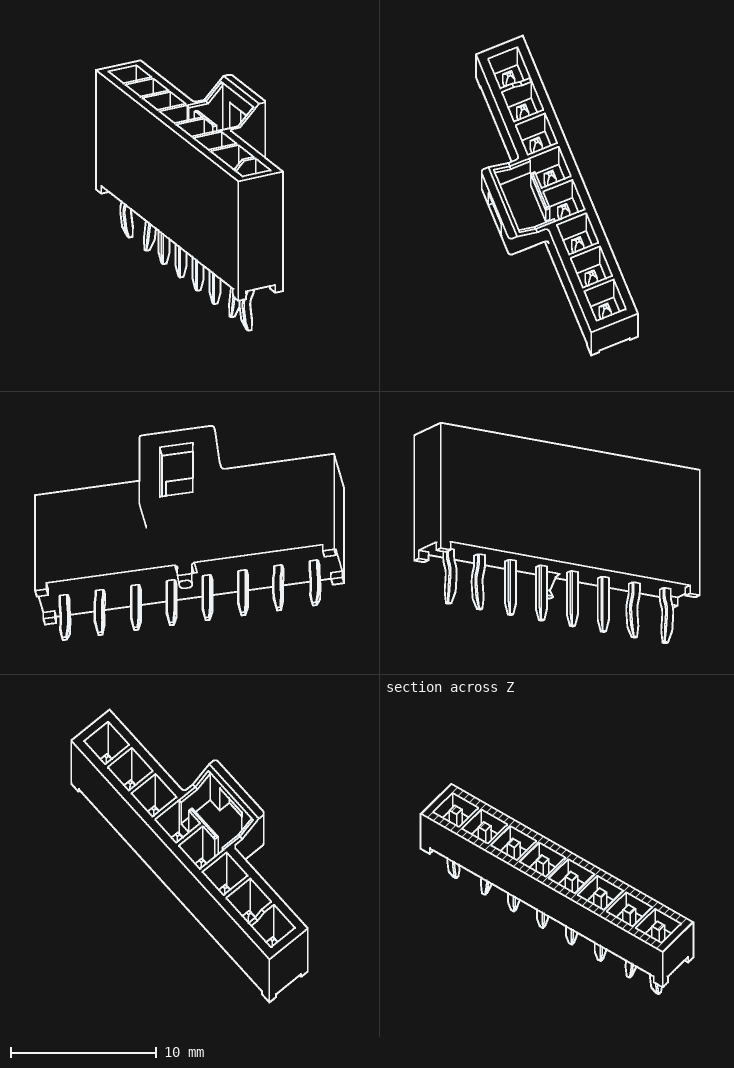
import cadquery as cq
import math


overrun = 0.2
edge_margin = 0.02

length = 20.95
depth = 3.48
top_z = 9.0
underside_z = 0.59
foot_length = 0.8
foot_depth = 0.6
back_y = depth / 2

cell_count = 8
cell_width = 2.22
cell_depth = 2.18
end_wall = 0.6
pitch = (length - 2 * end_wall - cell_width) / (cell_count - 1)
cell_floor_z = 2.1
cell_back_y = cell_depth / 2

notch_depth = 0.6
notch_start_y = 0.2

overall_depth = 6.35
latch_width = 5.24
latch_back_y = overall_depth - back_y
latch_top_z = 10.5
latch_bottom_z = 4.02
latch_fillet = 0.25
rim_flat = 0.59
slope_foot_y = latch_back_y - rim_flat - (latch_top_z - top_z)

pocket_width = 4.33
pocket_back_wall = 0.88
pocket_floor_thickness = 0.46
pocket_back_y = latch_back_y - pocket_back_wall
pocket_floor_z = latch_bottom_z + pocket_floor_thickness
rim_chamfer_height = 0.13
rim_chamfer_width = 0.19
window_width = 2.32
window_top_z = 9.13
tab_width = 2.75
tab_thickness = 0.31
tab_chamfer = 0.13

pin_size = 0.63
pin_chamfer = 0.08
pin_top_z = 6.28
tail_start_z = (cell_floor_z + underside_z) / 2
pin_bottom_z = -3.22
pin_taper_z = -2.43
pin_taper_length = pin_taper_z - pin_bottom_z
pin_head_tip_size = 0.2
pin_tip_size = 0.3
pin_tip_chamfer = 0.02

bow_start_z = 0.08
bow_straight_z = -0.42
bow_bend_z = -0.6
bow_return_z = -1.36
bow_out_angle = math.radians(25)
bow_back_angle = math.radians(7)
bow_directions = {0: -1, 1: 1, cell_count - 2: 1, cell_count - 1: -1}

hook_bottom_z = -1.0
hook_notch_z = -0.4
hook_web = 0.05
hook_toe = 0.75
hook_width = 0.98
hook_toe_width = 0.88
hook_toe_radius = 0.31
hook_web_radius = 0.01
hook_flare = 0.19


def box(x_range, y_range, z_range):
    """Box spanning the given (low, high) ranges."""
    lows, highs = zip(x_range, y_range, z_range)
    sizes = [high - low for low, high in zip(lows, highs)]
    return cq.Workplane("XY").box(*sizes, centered=False).translate(lows)


def span(width, middle=0.0):
    """(low, high) range of a width about its middle."""
    return (middle - width / 2, middle + width / 2)


def side_prism(points, x_range):
    """Prism along X with an outline given as (y, z) points."""
    low, high = x_range
    return cq.Workplane("YZ", origin=(low, 0, 0)).polyline(points).close().extrude(high - low)


def cell_x(index):
    """X of a cell's middle, counted from the -X end."""
    return (index - (cell_count - 1) / 2) * pitch


def make_shell():
    """Solid housing with the rounded latch block and its sloped shoulder."""
    housing = box(span(length), span(depth), (underside_z, latch_top_z))
    block = box(span(latch_width), (0, latch_back_y), (latch_bottom_z, latch_top_z))
    shell = housing.union(block)
    latch_zone = cq.selectors.BoxSelector(
        (-latch_width / 2 - overrun, back_y - edge_margin, latch_bottom_z - overrun),
        (latch_width / 2 + overrun, latch_back_y + overrun, latch_top_z - edge_margin),
    )
    shell = shell.edges(latch_zone).fillet(latch_fillet)
    shoulder = side_prism(
        [
            (-depth, top_z),
            (slope_foot_y, top_z),
            (latch_back_y - rim_flat, latch_top_z),
            (latch_back_y - rim_flat, latch_top_z + overrun),
            (-depth, latch_top_z + overrun),
        ],
        span(length + 2 * overrun),
    )
    return shell.cut(shoulder)


def add_feet(part):
    """Standoff foot under each corner of the housing."""
    for x_side in (-1, 1):
        for y_side in (-1, 1):
            x_range = span(foot_length, x_side * (length - foot_length) / 2)
            y_range = span(foot_depth, y_side * (depth - foot_depth) / 2)
            part = part.union(box(x_range, y_range, (0, underside_z)))
    return part


def cut_latch_pocket(part):
    """Pocket behind the middle cells, with bevelled side rims and a window through the back."""
    pocket_heights = (pocket_floor_z, latch_top_z + overrun)
    part = part.cut(box(span(pocket_width), (cell_back_y, pocket_back_y), pocket_heights))
    for side in (-1, 1):
        rim_x = side * pocket_width / 2
        rim_zone = cq.selectors.BoxSelector(
            (rim_x - edge_margin, cell_back_y, top_z - edge_margin),
            (rim_x + edge_margin, pocket_back_y - edge_margin, latch_top_z),
        )
        part = part.edges(rim_zone).chamfer(rim_chamfer_width, rim_chamfer_height)
    wall_range = (pocket_back_y - overrun, latch_back_y + overrun)
    return part.cut(box(span(window_width), wall_range, (pocket_floor_z, window_top_z)))


def make_tab():
    """Remaining piece of back wall between the pocket and the two middle cells."""
    tab = box(span(tab_width), (cell_back_y, cell_back_y + tab_thickness), (pocket_floor_z, top_z))
    return tab.faces(">Z").edges(">Y or <X or >X").chamfer(tab_chamfer)


def cut_cells(part):
    """Row of blind cells open at the top."""
    for index in range(cell_count):
        x_range = span(cell_width, cell_x(index))
        part = part.cut(box(x_range, span(cell_depth), (cell_floor_z, top_z + overrun)))
    return part


def cut_partition_notch(part):
    """Lower the front of the last partition, with a 45 degree ramp down to it."""
    notch = side_prism(
        [
            (-cell_depth / 2, top_z - notch_depth),
            (notch_start_y - notch_depth, top_z - notch_depth),
            (notch_start_y, top_z),
            (-cell_depth / 2, top_z),
        ],
        (cell_x(cell_count - 2), cell_x(cell_count - 1)),
    )
    return part.cut(notch)


def clipped_square(size, chamfer):
    """Square with clipped corners."""
    return cq.Sketch().rect(size, size).vertices().chamfer(chamfer)


def pin_end(start, end, start_sketch, end_sketch):
    """Tapered pin end between sketches placed at two locations."""
    return cq.Workplane("XY").placeSketch(start_sketch.moved(start), end_sketch.moved(end)).loft()


def make_pin(direction):
    """Pin on the Z axis with a square post above and a clipped-corner tail below.

    direction is the side the tail bows to in Y (-1 or 1), or 0 for a straight tail.
    """
    out_angle = abs(direction) * bow_out_angle
    back_angle = abs(direction) * bow_back_angle

    shank_end_z = bow_start_z if direction else pin_taper_z
    path = cq.Workplane("YZ").moveTo(0, tail_start_z).lineTo(0, shank_end_z)
    end_y = 0.0
    if direction:
        straight_y = (bow_start_z - bow_straight_z) * math.tan(out_angle / 2)
        bend_y = straight_y + (bow_straight_z - bow_bend_z) * math.tan(out_angle)
        return_y = bend_y + (bow_bend_z - bow_return_z) * math.tan((out_angle - back_angle) / 2)
        end_y = return_y - (bow_return_z - pin_taper_z) * math.tan(back_angle)
        path = (
            path.tangentArcPoint((direction * straight_y, bow_straight_z), relative=False)
            .lineTo(direction * bend_y, bow_bend_z)
            .tangentArcPoint((direction * return_y, bow_return_z), relative=False)
            .lineTo(direction * end_y, pin_taper_z)
        )
    tail_section = clipped_square(pin_size, pin_chamfer)
    shank = cq.Workplane("XY", origin=(0, 0, tail_start_z)).placeSketch(tail_section).sweep(path)

    tilt = direction * math.degrees(back_angle)
    tail = pin_end(
        cq.Location((0, direction * end_y, pin_taper_z), (-tilt, 0, 0)),
        cq.Location((0, 0, pin_bottom_z)),
        tail_section,
        clipped_square(pin_tip_size, pin_tip_chamfer),
    )
    head_taper_z = pin_top_z - pin_taper_length
    post = box(span(pin_size), span(pin_size), (tail_start_z, head_taper_z))
    head = pin_end(
        cq.Location((0, 0, head_taper_z)),
        cq.Location((0, 0, pin_top_z)),
        cq.Sketch().rect(pin_size, pin_size),
        cq.Sketch().rect(pin_head_tip_size, pin_head_tip_size),
    )
    return shank.union(tail).union(post).union(head)


def toe_sketch(width, reach, radius, z):
    """Rounded rectangle reaching forward from the back of the housing, at height z."""
    sketch = cq.Sketch().rect(width, reach).vertices().fillet(radius)
    return sketch.moved(cq.Location(cq.Vector(0, back_y - reach / 2, z)))


def make_hook():
    """Hook with a V notch facing forward: a flared 45 degree wedge above a rounded toe."""
    web_y = back_y - hook_web
    wedge = side_prism(
        [
            (back_y, underside_z),
            (back_y, hook_notch_z),
            (web_y, hook_notch_z),
            (web_y - (underside_z - hook_notch_z), underside_z),
        ],
        span(2 * hook_width),
    )
    half_outline = [
        (hook_width / 2 + hook_flare, underside_z),
        (hook_width / 2, underside_z - hook_flare),
        (hook_width / 2, hook_notch_z),
    ]
    mirrored = [(-x, z) for x, z in reversed(half_outline)]
    front = cq.Workplane("XZ").polyline(half_outline + mirrored).close().extrude(-2 * depth)
    toe = (
        cq.Workplane("XY")
        .placeSketch(
            toe_sketch(hook_toe_width, hook_toe, hook_toe_radius, hook_bottom_z),
            toe_sketch(hook_width, hook_web, hook_web_radius, hook_notch_z),
        )
        .loft()
    )
    return wedge.intersect(front).union(toe)


result = make_shell()
result = add_feet(result)
result = cut_latch_pocket(result)
result = result.union(make_tab())
result = cut_cells(result)
result = cut_partition_notch(result)
for pin_index in range(cell_count):
    pin = make_pin(bow_directions.get(pin_index, 0))
    result = result.union(pin.translate((cell_x(pin_index), 0, 0)))
result = result.union(make_hook())